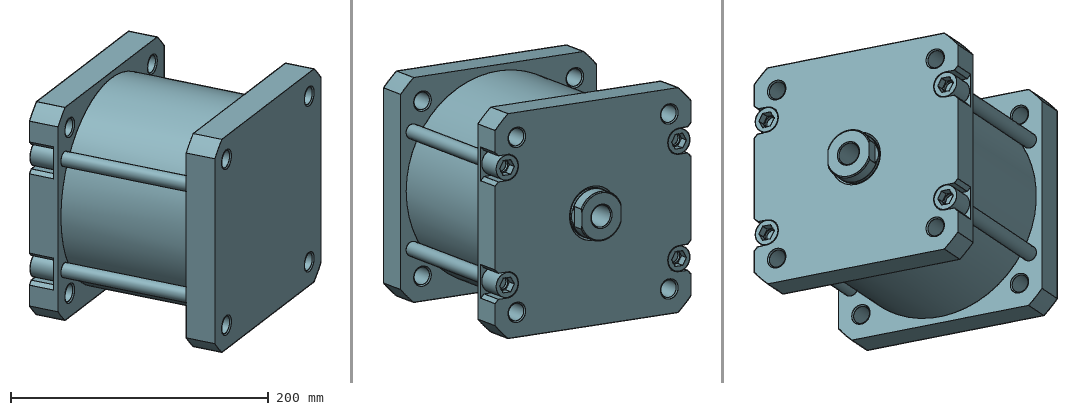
import cadquery as cq
import math

PLATE_WIDTH = 180.0
PLATE_THICKNESS = 25.0
CORNER_RADIUS = 119.2
PLATES_LENGTH = 162.0
REAR_PLATE_X = PLATES_LENGTH - PLATE_THICKNESS
BARREL_DIAMETER = 170.0

MOUNT_OFFSET = 70.0
MOUNT_DIAMETER = 14.0
MOUNT_CHAMFER = 1.0

BOLT_Y = 79.0
BOLT_Z = 47.0
BOLT_DIAMETER = 12.0
HEAD_DIAMETER = 20.0
HEAD_LENGTH = 20.9
SOCKET_ACROSS_FLATS = 11.7
SOCKET_DEPTH = 7.4
SOCKET_CORE_DIAMETER = 10.5
SOCKET_CORE_DEPTH = 10.0
SLOT_WIDTH = 20.9
SLOT_CHAMFER = 3.0

ROD_DIAMETER = 40.0
ROD_PROTRUSION = 12.2
SHANK_PROTRUSION = 0.9
NOSE_DIAMETER = 39.6
NOSE_CHAMFER = 0.9
FLAT_WIDTH = 36.2
FLAT_LENGTH = 10.3
ROD_HOLE_DIAMETER = 17.6
ROD_HOLE_CHAMFER = 0.9
ROD_HOLE_DEPTH = 27.0
DRILL_POINT_ANGLE = 118.0
ROD_SEAT_DIAMETER = 43.2
ROD_SEAT_CHAMFER = (ROD_SEAT_DIAMETER - ROD_DIAMETER) / 2

BOLT_POSITIONS = [(y, z) for y in (-BOLT_Y, BOLT_Y) for z in (-BOLT_Z, BOLT_Z)]
MOUNT_POSITIONS = [(y, z) for y in (-MOUNT_OFFSET, MOUNT_OFFSET) for z in (-MOUNT_OFFSET, MOUNT_OFFSET)]


def plane_at(x):
    """Workplane facing +X at the given X, with local axes Y and Z."""
    return cq.Workplane("YZ", origin=(x, 0, 0))


def make_plate(x):
    """Square plate with turned corners and four chamfered mounting holes."""
    square = plane_at(x).rect(PLATE_WIDTH, PLATE_WIDTH).extrude(PLATE_THICKNESS)
    disc = plane_at(x).circle(CORNER_RADIUS).extrude(PLATE_THICKNESS)
    holes = plane_at(x).pushPoints(MOUNT_POSITIONS).circle(MOUNT_DIAMETER / 2).extrude(PLATE_THICKNESS)
    plate = square.intersect(disc).cut(holes)
    return plate.edges("%CIRCLE").edges(cq.selectors.RadiusNthSelector(0)).chamfer(MOUNT_CHAMFER)


def make_bolt_slot(y, z):
    """Head recess that opens through the nearest side of the plate, with chamfered side corners."""
    side = math.copysign(1, y)
    edge = side * PLATE_WIDTH / 2
    half = SLOT_WIDTH / 2
    return (
        plane_at(0)
        .moveTo(y, z + half)
        .lineTo(edge - side * SLOT_CHAMFER, z + half)
        .lineTo(edge, z + half + SLOT_CHAMFER)
        .lineTo(edge, z - half - SLOT_CHAMFER)
        .lineTo(edge - side * SLOT_CHAMFER, z - half)
        .lineTo(y, z - half)
        .threePointArc((y - side * half, z), (y, z + half))
        .close()
        .extrude(HEAD_LENGTH)
    )


def make_front_plate():
    """Plate with bolt head slots, bolt holes and the piston rod bore."""
    plate = make_plate(0)
    for y, z in BOLT_POSITIONS:
        plate = plate.cut(make_bolt_slot(y, z))
    bolt_holes = plane_at(0).pushPoints(BOLT_POSITIONS).circle(BOLT_DIAMETER / 2).extrude(PLATE_THICKNESS)
    bore = plane_at(0).circle(ROD_DIAMETER / 2).extrude(PLATE_THICKNESS)
    seat = plane_at(0).circle(ROD_SEAT_DIAMETER / 2).extrude(ROD_SEAT_CHAMFER, taper=45)
    return plate.cut(bolt_holes).cut(bore).cut(seat)


def make_barrel():
    """Barrel clamped between the two plates."""
    return plane_at(PLATE_THICKNESS).circle(BARREL_DIAMETER / 2).extrude(REAR_PLATE_X - PLATE_THICKNESS)


def make_bolt(y, z):
    """Socket head tie bolt from the front face to the rear plate."""
    head = plane_at(0).center(y, z).circle(HEAD_DIAMETER / 2).extrude(HEAD_LENGTH)
    shank = plane_at(HEAD_LENGTH).center(y, z).circle(BOLT_DIAMETER / 2).extrude(REAR_PLATE_X - HEAD_LENGTH)
    across_corners = SOCKET_ACROSS_FLATS / math.cos(math.pi / 6)
    socket = plane_at(0).center(y, z).polygon(6, across_corners).extrude(SOCKET_DEPTH)
    core = plane_at(0).center(y, z).circle(SOCKET_CORE_DIAMETER / 2).extrude(SOCKET_CORE_DEPTH)
    return head.union(shank).cut(socket).cut(core)


def make_rod_hole():
    """Drilled hole with a chamfered mouth and a conical end."""
    radius = ROD_HOLE_DIAMETER / 2
    mouth_x = -ROD_PROTRUSION
    end_x = mouth_x + ROD_HOLE_DEPTH
    point_length = radius / math.tan(math.radians(DRILL_POINT_ANGLE / 2))
    return (
        cq.Workplane("XY")
        .moveTo(mouth_x, 0)
        .lineTo(mouth_x, radius + ROD_HOLE_CHAMFER)
        .lineTo(mouth_x + ROD_HOLE_CHAMFER, radius)
        .lineTo(end_x, radius)
        .lineTo(end_x + point_length, 0)
        .close()
        .revolve(360, (0, 0, 0), (1, 0, 0))
    )


def make_wrench_flat_cut():
    """Material removed beside the nose on the +Y side, ending in a 45 degree run-out."""
    inner_y = FLAT_WIDTH / 2
    outer_y = ROD_DIAMETER / 2
    flat_end_x = FLAT_LENGTH - ROD_PROTRUSION
    outline = [
        (-ROD_PROTRUSION, inner_y),
        (flat_end_x, inner_y),
        (flat_end_x + outer_y - inner_y, outer_y),
        (-ROD_PROTRUSION, outer_y),
    ]
    return cq.Workplane("XY").polyline(outline).close().extrude(ROD_DIAMETER / 2, both=True)


def make_piston_rod():
    """Rod with a slightly thinner chamfered nose, two wrench flats and a drilled hole."""
    shank = plane_at(-SHANK_PROTRUSION).circle(ROD_DIAMETER / 2).extrude(SHANK_PROTRUSION + PLATE_THICKNESS)
    nose = plane_at(-ROD_PROTRUSION).circle(NOSE_DIAMETER / 2).extrude(ROD_PROTRUSION)
    nose = nose.faces("<X").chamfer(NOSE_CHAMFER)
    flat_cut = make_wrench_flat_cut()
    return nose.union(shank).cut(flat_cut).cut(flat_cut.mirror("XZ")).cut(make_rod_hole())


front_plate = make_front_plate()
rear_plate = make_plate(REAR_PLATE_X)
barrel = make_barrel()
piston_rod = make_piston_rod()
tie_bolts = [make_bolt(y, z) for y, z in BOLT_POSITIONS]

result = cq.Compound.makeCompound([
    front_plate.val(),
    rear_plate.val(),
    barrel.val(),
    piston_rod.val(),
    *[bolt.val() for bolt in tie_bolts],
])